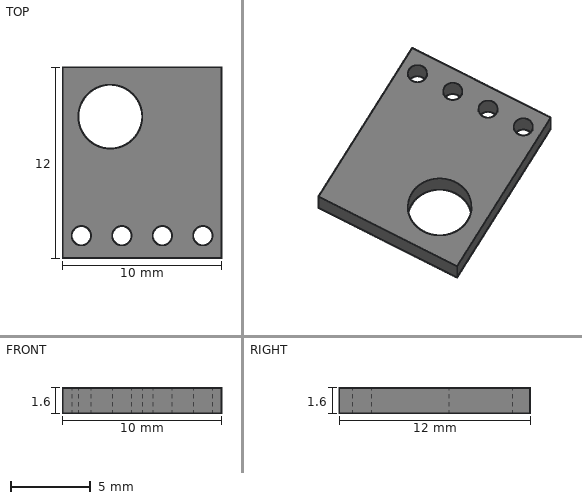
import cadquery as cq

width = 10.0
length = 12.0
thickness = 1.6

large_diameter = 4.0
large_from_left = 3.0
large_from_back = 3.11

pin_diameter = 1.2
pin_count = 4
pin_pitch = 2.55
pin_from_front = 1.42

plate = cq.Workplane("XY").box(width, length, thickness)

plate_with_large_hole = (
    plate.faces(">Z")
    .workplane(origin=(0, 0, 0))
    .center(large_from_left - width / 2, length / 2 - large_from_back)
    .hole(large_diameter)
)

result = (
    plate_with_large_hole.faces(">Z")
    .workplane(origin=(0, 0, 0))
    .center(0, pin_from_front - length / 2)
    .rarray(pin_pitch, 0.12, pin_count, 1)
    .hole(pin_diameter)
)